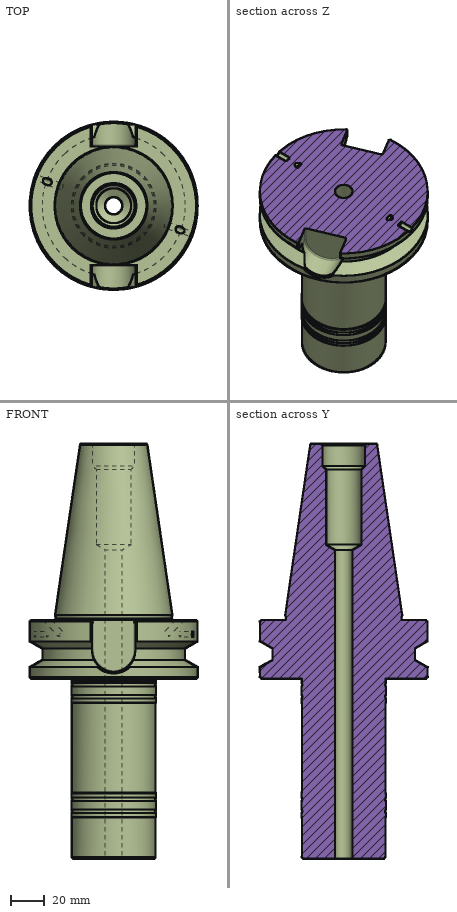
import cadquery as cq
import math

TAPER_LENGTH = 101.8
PROJECTION = 145.0
GAUGE_DIAMETER = 69.85
TAPER_RATIO = 7 / 24
TAPER_END_CHAMFER_WIDTH = 0.6
TAPER_END_CHAMFER_HEIGHT = 0.8

RELIEF_DEPTH = 0.55
RELIEF_FLARE = 0.8

FLANGE_TOP_Z = -3.0
FLANGE_BOTTOM_Z = -38.0
FLANGE_DIAMETER = 100.0
FLANGE_CHAMFER = 1.0
V_GROOVE_MIDDLE_Z = -23.35
V_GROOVE_ROOT_DIAMETER = 85.0
V_GROOVE_ROOT_WIDTH = 6.7
V_GROOVE_FLANK_ANGLE = 30.0

SLOT_WIDTH = 25.7
SLOT_FLOOR_OFFSET = 35.3
SLOT_ARC_CENTRE_Z = -21.0
SLOT_MOUTH_CHAMFER = 0.9
SLOT_FLOOR_FILLET = 0.7
SLOT_ANGLES = (0.0, 180.0)

HOLE_ANGLES = (160.0, 340.0)
SLANTED_HOLE_DIAMETER = 3.9
SLANTED_HOLE_MOUTH_RADIUS = 42.0
SLANTED_HOLE_TILT = 45.0
SLANTED_HOLE_DEPTH = 12.0
RADIAL_HOLE_DIAMETER = 3.24
RADIAL_HOLE_DEPTH = 8.0
RADIAL_HOLE_Z = -11.5

SHANK_DIAMETER = 50.0
SHANK_END_CHAMFER = 1.0
BAND_DIAMETER = 50.5
BAND_BEVEL_LENGTH = 0.4
BAND_SPANS = ((-39.0, -52.3), (-105.6, -120.4))
RING_GROOVE_WIDTH = 2.2
RING_GROOVE_DEPTH = 0.45
RING_GROOVE_MIDDLES = (-41.5, -48.6, -109.6, -116.7)

MOUTH_DIAMETER = 27.0
BORE_DIAMETER = 25.0
BORE_DEPTH = 13.2
THREAD_DIAMETER = 20.75
THREAD_END_DEPTH = 60.0
THROUGH_DIAMETER = 10.11
DRILL_POINT_ANGLE = 118.0

SHANK_RADIUS = SHANK_DIAMETER / 2
BAND_RADIUS = BAND_DIAMETER / 2
FLANGE_RADIUS = FLANGE_DIAMETER / 2
CUT_CLEARANCE = 1.0


def revolve_profile(points):
    """Turn a closed (radius, z) outline about the Z axis."""
    return cq.Workplane("XZ").polyline(points).close().revolve(360, (0, 0, 0), (0, 1, 0))


def make_taper():
    gauge_radius = GAUGE_DIAMETER / 2
    small_radius = gauge_radius - TAPER_LENGTH * TAPER_RATIO / 2
    relief_radius = gauge_radius - RELIEF_DEPTH
    return revolve_profile(
        [
            (0, TAPER_LENGTH),
            (small_radius - TAPER_END_CHAMFER_WIDTH, TAPER_LENGTH),
            (small_radius, TAPER_LENGTH - TAPER_END_CHAMFER_HEIGHT),
            (gauge_radius, 0),
            (relief_radius, FLANGE_TOP_Z + RELIEF_FLARE),
            (relief_radius + RELIEF_FLARE, FLANGE_TOP_Z),
            (0, FLANGE_TOP_Z),
        ]
    )


def make_drive_slot_cutter():
    """Round-bottomed slot reaching in from the -Y side."""
    half_width = SLOT_WIDTH / 2
    top = FLANGE_TOP_Z + CUT_CLEARANCE
    reach = FLANGE_RADIUS + CUT_CLEARANCE - SLOT_FLOOR_OFFSET
    return (
        cq.Workplane("XZ", origin=(0, -SLOT_FLOOR_OFFSET, 0))
        .moveTo(-half_width, top)
        .lineTo(-half_width, SLOT_ARC_CENTRE_Z)
        .threePointArc((0, SLOT_ARC_CENTRE_Z - half_width), (half_width, SLOT_ARC_CENTRE_Z))
        .lineTo(half_width, top)
        .close()
        .extrude(reach)
    )


def is_slot_mouth_edge(edge):
    """True for the slot edges on the rim and along the slot sides in the top face."""
    middle = edge.positionAt(0.5)
    within_slot = abs(middle.x) < SLOT_WIDTH / 2 + SLOT_MOUTH_CHAMFER
    tolerance = 1e-3
    if not within_slot or middle.z < FLANGE_BOTTOM_Z + tolerance:
        return False
    on_rim = abs(math.hypot(middle.x, middle.y) - FLANGE_RADIUS) < tolerance
    on_top = abs(middle.z - FLANGE_TOP_Z) < tolerance
    along_side = abs(abs(middle.x) - SLOT_WIDTH / 2) < tolerance
    return on_rim or (on_top and along_side)


def is_slot_floor_edge(edge):
    """True for the edges round a slot floor, except its straight edge in the top face."""
    middle = edge.positionAt(0.5)
    tolerance = 1e-3
    within_slot = abs(middle.x) < SLOT_WIDTH / 2 + tolerance
    on_floor = abs(abs(middle.y) - SLOT_FLOOR_OFFSET) < tolerance
    below_chamfer = middle.z < FLANGE_TOP_Z - SLOT_MOUTH_CHAMFER
    return within_slot and on_floor and below_chamfer


def make_v_groove_cutter():
    root_radius = V_GROOVE_ROOT_DIAMETER / 2
    outer_radius = FLANGE_RADIUS + CUT_CLEARANCE
    root_half = V_GROOVE_ROOT_WIDTH / 2
    flank_height = (outer_radius - root_radius) * math.tan(math.radians(V_GROOVE_FLANK_ANGLE))
    return revolve_profile(
        [
            (outer_radius, V_GROOVE_MIDDLE_Z + root_half + flank_height),
            (root_radius, V_GROOVE_MIDDLE_Z + root_half),
            (root_radius, V_GROOVE_MIDDLE_Z - root_half),
            (outer_radius, V_GROOVE_MIDDLE_Z - root_half - flank_height),
        ]
    )


def make_rim_chamfer_cutter(face_z, inward):
    """Ring that bevels the rim at face_z; inward is the Z direction into the flange (+1 or -1)."""
    outer_radius = FLANGE_RADIUS + CUT_CLEARANCE
    return revolve_profile(
        [
            (FLANGE_RADIUS - FLANGE_CHAMFER, face_z),
            (outer_radius, face_z),
            (outer_radius, face_z + inward * (FLANGE_CHAMFER + CUT_CLEARANCE)),
        ]
    )


def make_flange():
    flange = (
        cq.Workplane("XY", origin=(0, 0, FLANGE_BOTTOM_Z))
        .circle(FLANGE_RADIUS)
        .extrude(FLANGE_TOP_Z - FLANGE_BOTTOM_Z)
    )
    slot = make_drive_slot_cutter()
    for angle in SLOT_ANGLES:
        flange = flange.cut(slot.rotate((0, 0, 0), (0, 0, 1), angle))
    mouth_edges = [edge for edge in flange.edges().vals() if is_slot_mouth_edge(edge)]
    flange = flange.newObject(mouth_edges).chamfer(SLOT_MOUTH_CHAMFER)
    floor_edges = [edge for edge in flange.edges().vals() if is_slot_floor_edge(edge)]
    flange = flange.newObject(floor_edges).fillet(SLOT_FLOOR_FILLET)
    flange = flange.cut(make_v_groove_cutter())
    flange = flange.cut(make_rim_chamfer_cutter(FLANGE_TOP_Z, -1))
    return flange.cut(make_rim_chamfer_cutter(FLANGE_BOTTOM_Z, 1))


def make_drill(diameter, depth, mouth, direction):
    """Cylinder running from just outside the mouth to the given depth along a unit direction."""
    start = mouth - direction * (2 * diameter)
    return cq.Workplane(cq.Solid.makeCylinder(diameter / 2, depth + 2 * diameter, start, direction))


def drill_flange_holes(flange):
    tilt = math.radians(SLANTED_HOLE_TILT)
    for angle in HOLE_ANGLES:
        heading = math.radians(angle)
        outward = cq.Vector(math.cos(heading), math.sin(heading), 0)
        slant = outward * -math.sin(tilt) + cq.Vector(0, 0, -math.cos(tilt))
        slanted_mouth = outward * SLANTED_HOLE_MOUTH_RADIUS + cq.Vector(0, 0, FLANGE_TOP_Z)
        radial_mouth = outward * FLANGE_RADIUS + cq.Vector(0, 0, RADIAL_HOLE_Z)
        flange = flange.cut(make_drill(SLANTED_HOLE_DIAMETER, SLANTED_HOLE_DEPTH, slanted_mouth, slant))
        flange = flange.cut(make_drill(RADIAL_HOLE_DIAMETER, RADIAL_HOLE_DEPTH, radial_mouth, -outward))
    return flange


def make_band(top, bottom):
    return revolve_profile(
        [
            (0, top),
            (SHANK_RADIUS, top),
            (BAND_RADIUS, top - BAND_BEVEL_LENGTH),
            (BAND_RADIUS, bottom + BAND_BEVEL_LENGTH),
            (SHANK_RADIUS, bottom),
            (0, bottom),
        ]
    )


def make_ring_groove_cutter(middle):
    """Ring with an arc-shaped inner side."""
    top = middle + RING_GROOVE_WIDTH / 2
    bottom = middle - RING_GROOVE_WIDTH / 2
    return (
        cq.Workplane("XZ")
        .moveTo(BAND_RADIUS, top)
        .threePointArc((BAND_RADIUS - RING_GROOVE_DEPTH, middle), (BAND_RADIUS, bottom))
        .lineTo(BAND_RADIUS + CUT_CLEARANCE, bottom)
        .lineTo(BAND_RADIUS + CUT_CLEARANCE, top)
        .close()
        .revolve(360, (0, 0, 0), (0, 1, 0))
    )


def make_shank():
    shank = (
        cq.Workplane("XY", origin=(0, 0, -PROJECTION))
        .circle(SHANK_RADIUS)
        .extrude(PROJECTION + FLANGE_BOTTOM_Z)
        .faces("<Z")
        .chamfer(SHANK_END_CHAMFER)
    )
    for top, bottom in BAND_SPANS:
        shank = shank.union(make_band(top, bottom))
    for middle in RING_GROOVE_MIDDLES:
        shank = shank.cut(make_ring_groove_cutter(middle))
    return shank


def make_bore_cutter():
    mouth_chamfer = (MOUTH_DIAMETER - BORE_DIAMETER) / 2
    thread_chamfer = (BORE_DIAMETER - THREAD_DIAMETER) / 2
    point_drop = (THREAD_DIAMETER - THROUGH_DIAMETER) / 2 / math.tan(math.radians(DRILL_POINT_ANGLE / 2))
    bore_end = TAPER_LENGTH - BORE_DEPTH
    thread_end = TAPER_LENGTH - THREAD_END_DEPTH
    return revolve_profile(
        [
            (0, TAPER_LENGTH),
            (MOUTH_DIAMETER / 2, TAPER_LENGTH),
            (BORE_DIAMETER / 2, TAPER_LENGTH - mouth_chamfer),
            (BORE_DIAMETER / 2, bore_end),
            (THREAD_DIAMETER / 2, bore_end - thread_chamfer),
            (THREAD_DIAMETER / 2, thread_end),
            (THROUGH_DIAMETER / 2, thread_end - point_drop),
            (THROUGH_DIAMETER / 2, -PROJECTION),
            (0, -PROJECTION),
        ]
    )


flange = drill_flange_holes(make_flange())
result = make_taper().union(flange).union(make_shank()).cut(make_bore_cutter())